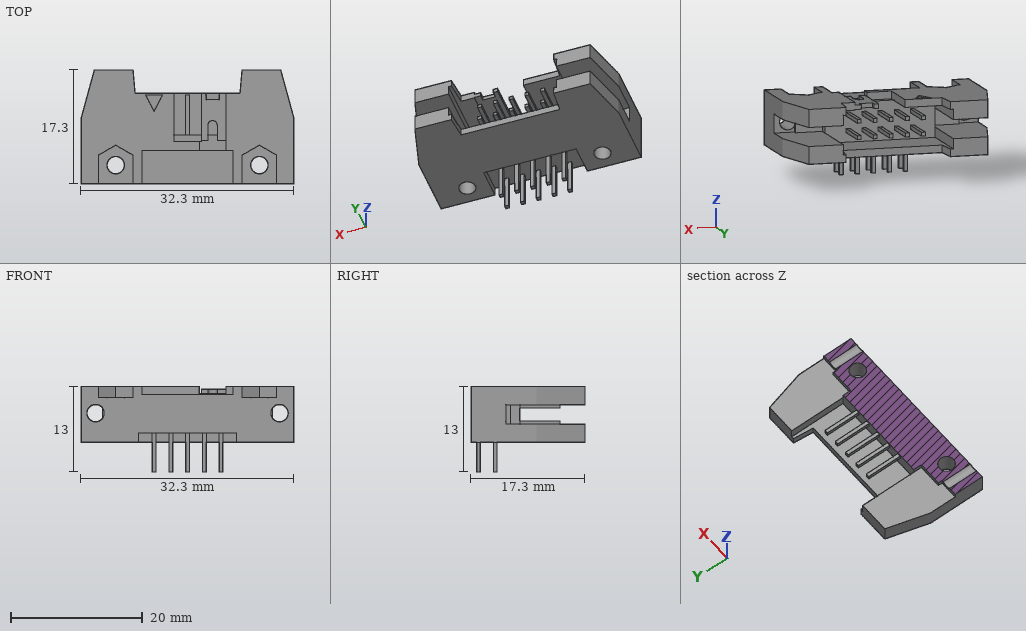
import cadquery as cq
import math


body_length = 32.3
body_depth = 17.3
body_height = 8.5
half_length = body_length / 2
ear_taper_start_y = 10.0
ear_tip_outer_x = 14.15
ear_tip_inner_x = 8.25
ear_root_inner_x = 7.95
mating_edge_y = 13.75

slot_mid_z = 4.24
slot_height = 2.94
slot_floor_y = 5.27
latch_step_x = 12.92
latch_step_y = 5.98
socket_half_width = 8.7
socket_floor_y = 7.42
socket_height = 6.12
socket_roof_z = slot_mid_z + socket_height / 2

recess_depth_y = 5.03
top_recess_half_width = 6.93
top_recess_floor_z = 7.3
bottom_recess_half_width = 7.45
bottom_recess_height = 1.43

mount_hole_diameter = 2.6
mount_x = 10.9
mount_y = 2.83
nut_across_flats = 5.25
nut_pocket_depth = 1.7
end_hole_x = 13.95
end_hole_z = 4.45

window_left_x = -2.08
window_right_x = 5.82
window_back_y = 6.41
notch_left_x = 1.8
notch_floor_z = 7.4
key_left_x = 2.08
key_back_y = 6.6
key_top_z = 8.09
key_cutout_x = 3.8
key_slot_width = 1.42
key_slot_end_y = 9.6
key_notch_width = 2.03
key_notch_depth = 0.97

pitch = 2.54
columns = 5
triangle_x = -2 * pitch
triangle_base_y = 13.45
triangle_height = 2.45
triangle_depth = 0.2

contact_size = 0.6
contact_tip_y = 13.5
pin_tip_z = -4.5
pin_mid_y = 2.4
embed = 0.6


def box(x0, x1, y0, y1, z0, z1):
    """Axis-aligned block between opposite corners."""
    return cq.Workplane("XY").box(x1 - x0, y1 - y0, z1 - z0, centered=False).translate((x0, y0, z0))


def housing_block():
    """Symmetric plan outline with two tapered ears, extruded to full height."""
    right_side = [
        (half_length, 0),
        (half_length, ear_taper_start_y),
        (ear_tip_outer_x, body_depth),
        (ear_tip_inner_x, body_depth),
        (ear_root_inner_x, mating_edge_y),
    ]
    left_side = [(-x, y) for x, y in reversed(right_side)]
    return cq.Workplane("XY").polyline(right_side + left_side).close().extrude(body_height)


def centred_cavity(half_width, floor_y, height):
    """Opening to the mating side, centred on X = 0 and on the slot height."""
    return box(
        -half_width, half_width, floor_y, body_depth,
        slot_mid_z - height / 2, slot_mid_z + height / 2,
    )


def latch_slot():
    """Slot across the whole housing, shallower in steps towards the middle."""
    slot = centred_cavity(half_length, latch_step_y, slot_height)
    end_deepening = centred_cavity(half_length, slot_floor_y, slot_height)
    middle = centred_cavity(latch_step_x, slot_floor_y, slot_height)
    slot = slot.union(end_deepening.cut(middle))
    socket_back_wall = box(
        -socket_half_width, socket_half_width, 0, socket_floor_y, 0, body_height
    )
    return slot.cut(socket_back_wall)


def solder_side_recesses():
    """Shallow rectangular recesses in the roof and in the underside."""
    top = box(
        -top_recess_half_width, top_recess_half_width, 0, recess_depth_y,
        top_recess_floor_z, body_height,
    )
    bottom = box(
        -bottom_recess_half_width, bottom_recess_half_width, 0, recess_depth_y,
        0, bottom_recess_height,
    )
    return top.union(bottom)


def mounting_cut(side):
    """Vertical screw hole with a nut pocket, and the end hole into the latch slot."""
    x = side * mount_x
    screw_hole = cq.Workplane("XY").center(x, mount_y).circle(mount_hole_diameter / 2).extrude(body_height)
    half_flats = nut_across_flats / 2
    corner_radius = half_flats / math.cos(math.pi / 6)
    shoulder_y = mount_y + corner_radius / 2
    pocket = (
        cq.Workplane("XY", origin=(0, 0, body_height))
        .polyline([
            (x - half_flats, 0),
            (x + half_flats, 0),
            (x + half_flats, shoulder_y),
            (x, mount_y + corner_radius),
            (x - half_flats, shoulder_y),
        ])
        .close()
        .extrude(-nut_pocket_depth)
    )
    end_hole = (
        cq.Workplane("XZ")
        .center(side * end_hole_x, end_hole_z)
        .circle(mount_hole_diameter / 2)
        .extrude(-slot_floor_y)
    )
    return screw_hole.union(pocket).union(end_hole)


def roof_window():
    """Opening in the socket roof, with a bay and floor notch that hold the key."""
    window = box(
        window_left_x, key_left_x, window_back_y, mating_edge_y, socket_roof_z, body_height
    )
    key_bay = box(
        key_left_x, window_right_x, window_back_y, mating_edge_y, notch_floor_z, body_height
    )
    key_opening = box(
        key_left_x, window_right_x, socket_floor_y, mating_edge_y, socket_roof_z, body_height
    )
    notch = box(
        notch_left_x, window_right_x, recess_depth_y, window_back_y, notch_floor_z, body_height
    )
    return window.union(key_bay).union(key_opening).union(notch)


def polarising_key():
    """Flat tongue with a round-ended slot at the back and a notch in its front edge."""
    key = box(
        key_left_x, window_right_x, key_back_y, mating_edge_y, notch_floor_z, key_top_z
    )
    slot_radius = key_slot_width / 2
    arc_centre_y = key_slot_end_y - slot_radius
    slot = box(
        key_cutout_x - slot_radius, key_cutout_x + slot_radius, key_back_y, arc_centre_y,
        notch_floor_z, key_top_z,
    )
    slot_end = (
        cq.Workplane("XY", origin=(key_cutout_x, arc_centre_y, notch_floor_z))
        .circle(slot_radius)
        .extrude(key_top_z - notch_floor_z)
    )
    notch = box(
        key_cutout_x - key_notch_width / 2, key_cutout_x + key_notch_width / 2,
        mating_edge_y - key_notch_depth, mating_edge_y, notch_floor_z, key_top_z,
    )
    return key.cut(slot).cut(slot_end).cut(notch)


def pin_one_mark():
    """Shallow engraved triangle over the first column."""
    return (
        cq.Workplane("XY", origin=(triangle_x, triangle_base_y, body_height))
        .polyline([(-pitch / 2, 0), (pitch / 2, 0), (0, -triangle_height)])
        .close()
        .extrude(-triangle_depth)
    )


def contact_pair(x, row):
    """Mating contact and solder pin of one position; row is -1 or +1."""
    half = contact_size / 2
    contact_z = slot_mid_z + row * pitch / 2
    contact = box(
        x - half, x + half, socket_floor_y - embed, contact_tip_y,
        contact_z - half, contact_z + half,
    )
    pin_y = pin_mid_y + row * pitch / 2
    pin = box(
        x - half, x + half, pin_y - half, pin_y + half,
        pin_tip_z, bottom_recess_height + embed,
    )
    return contact, pin


result = housing_block()
result = result.cut(latch_slot())
result = result.cut(centred_cavity(socket_half_width, socket_floor_y, socket_height))
result = result.cut(solder_side_recesses())
for side in (-1, 1):
    result = result.cut(mounting_cut(side))
result = result.cut(roof_window())
result = result.union(polarising_key())
result = result.cut(pin_one_mark())
for column in range(columns):
    column_x = (column - (columns - 1) / 2) * pitch
    for row in (-1, 1):
        for metal in contact_pair(column_x, row):
            result = result.union(metal)